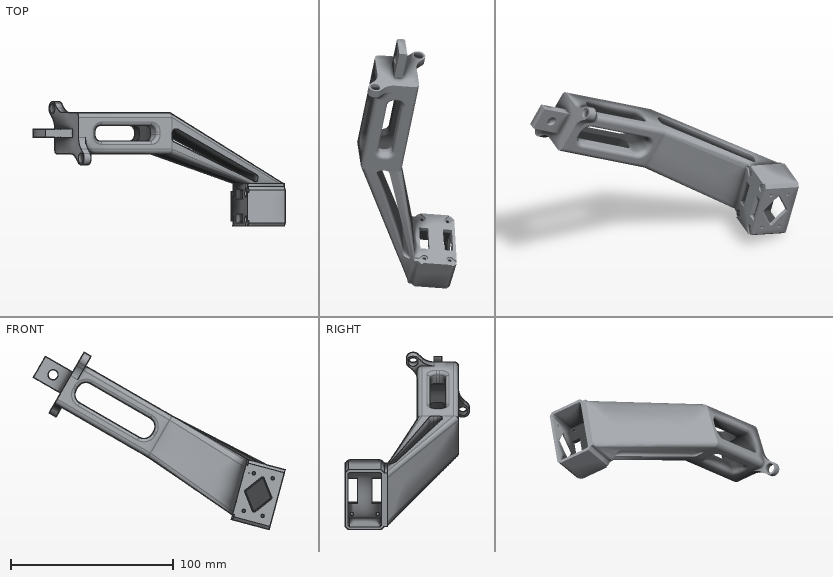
import cadquery as cq
import math

BEAM_TILT = 30.0
BEAM_WIDTH = 25.5
BEAM_HEIGHT = 29.5
BEAM_LENGTH = 66.5
BEAM_CORNER_RADIUS = 3.0

WINDOW_RIM_FILLET = 2.1
SIDE_WINDOW_START = 7.4
SIDE_WINDOW_LENGTH = 54.0
SIDE_WINDOW_HEIGHT = 13.5
TOP_WINDOW_START = 12.6
TOP_WINDOW_LENGTH = 43.3
TOP_WINDOW_WIDTH = 9.45
WINDOW_END_FLAT = 1.75

FLANGE_THICKNESS = 5.0
EAR_RADIUS = 4.15
EAR_HOLE_DIAMETER = 6.05
EAR_OFFSET_Y = 15.3
EAR_OFFSET_UP = 17.5
EAR_BLEND_RADIUS = 10.0
EAR_STRIP_ANGLE = 45.0
DIAGONAL = math.sqrt(0.5)

TAB_LENGTH = 19.4
TAB_HEIGHT = 15.0
TAB_THICKNESS = 5.0
TAB_HOLE_DIAMETER = 6.05
TAB_HOLE_FROM_TIP = 9.8

HEAD_TILT = 15.0
HEAD_DEPTH = 24.2
HEAD_WIDTH = 24.28
HEAD_HEIGHT = 38.3
HEAD_CHAMFER = 2.0
HEAD_WALL = 1.84
HEAD_PLATE_THICKNESS = 3.15
HEAD_CENTER_X = 106.43
HEAD_CENTER_Y = -45.1
HEAD_CENTER_Z = -65.88
ARM_PAD_THICKNESS = 2.0

PLATE_SLOT_WIDTH = 5.7
PLATE_SLOT_HEIGHT = 16.0
PLATE_SLOT_PITCH = 14.9
SCREW_HOLE_DIAMETER = 2.05
SCREW_PITCH_Y = 16.0
SCREW_PITCH_UP = 30.0
SCREW_RECESS_DIAMETER = 4.3
SCREW_RECESS_DEPTH = 1.0
PAD_RECESS_FROM_CENTER = 15.4

FACE_HOLE_PITCH_ALONG = 12.0
FACE_HOLE_PITCH_UP = 24.0
DIAMOND_HALF_WIDTH = 8.05
DIAMOND_HALF_HEIGHT = 10.8
DIAMOND_CORNER_RADIUS = 0.5
DIAMOND_CHAMFER = 0.7
DIAMOND_CHAMFER_ANGLE = 45.0

ARM_END_CORNER_RADIUS = 3.0
ARM_END_HEIGHT = HEAD_HEIGHT - 2 * HEAD_CHAMFER
ARM_SLOT_START_WIDTH = 9.2
ARM_SLOT_END_WIDTH = 8.2
ARM_SLOT_LENGTH = 62.5
ARM_SLOT_END_TILT = (BEAM_TILT + HEAD_TILT) / 2
ARM_SLOT_OVERCUT = 1.2
ARM_SLOT_START_RADIUS = 3.0
ARM_SLOT_END_WIDE_RADIUS = 2.4
ARM_SLOT_END_TIGHT_RADIUS = 1.0

UPRIGHT_COSINE = 0.8
TOLERANCE = 0.001


def tilted_plane(origin, tilt):
    """Section plane of a part that slopes down: local x is +Y, local y is up, local z is the axis."""
    angle = math.radians(tilt)
    return cq.Plane(origin=origin, xDir=(0, 1, 0), normal=(math.cos(angle), 0, -math.sin(angle)))


BEAM = tilted_plane((0, 0, 0), BEAM_TILT)
HEAD = tilted_plane((HEAD_CENTER_X, HEAD_CENTER_Y, HEAD_CENTER_Z), HEAD_TILT)


def placed(plane, local_part):
    """Move a part from local axes to its place on a section plane."""
    return cq.Workplane(obj=local_part.val().moved(cq.Location(plane)))


def make_beam():
    """Straight rounded bar before its windows are cut."""
    local = cq.Workplane("XY").rect(BEAM_WIDTH, BEAM_HEIGHT).extrude(BEAM_LENGTH)
    return local.edges("|Z").fillet(BEAM_CORNER_RADIUS)


def make_ear():
    """Ear at the +x +y corner: a diagonal strip with a round end, blended into the flange edges."""
    half_width = BEAM_WIDTH / 2
    half_height = BEAM_HEIGHT / 2
    half_turn = math.radians(EAR_STRIP_ANGLE / 2)
    tangent_length = EAR_BLEND_RADIUS * math.tan(half_turn)
    arc_gap = EAR_BLEND_RADIUS * (1 / math.cos(half_turn) - 1)
    short_gap = arc_gap * math.sin(half_turn)
    long_gap = arc_gap * math.cos(half_turn)
    leg = tangent_length * DIAGONAL
    side_step = EAR_RADIUS * DIAGONAL
    rise = EAR_OFFSET_UP - EAR_OFFSET_Y
    strip_span = EAR_RADIUS / DIAGONAL
    top_x = half_height - rise - strip_span
    side_y = half_width + rise - strip_span
    outline = (
        cq.Workplane("XY")
        .lineTo(top_x - tangent_length, 0)
        .lineTo(top_x - tangent_length, half_height)
        .threePointArc((top_x - short_gap, half_height + long_gap), (top_x + leg, half_height + leg))
        .lineTo(EAR_OFFSET_Y - side_step, EAR_OFFSET_UP + side_step)
        .threePointArc(
            (EAR_OFFSET_Y + side_step, EAR_OFFSET_UP + side_step),
            (EAR_OFFSET_Y + side_step, EAR_OFFSET_UP - side_step),
        )
        .lineTo(half_width + leg, side_y + leg)
        .threePointArc((half_width + long_gap, side_y - short_gap), (half_width, side_y - tangent_length))
        .lineTo(0, side_y - tangent_length)
        .close()
    )
    return outline.extrude(FLANGE_THICKNESS)


def ear_holes():
    """Holes through both ears."""
    centers = [(-EAR_OFFSET_Y, EAR_OFFSET_UP), (EAR_OFFSET_Y, -EAR_OFFSET_UP)]
    return cq.Workplane("XY").pushPoints(centers).circle(EAR_HOLE_DIAMETER / 2).extrude(FLANGE_THICKNESS)


def make_tab():
    """Flat tab in front of the flange with a cross hole near its tip."""
    tab = cq.Workplane("XY").box(TAB_THICKNESS, TAB_HEIGHT, TAB_LENGTH)
    tab = tab.translate((0, 0, -TAB_LENGTH / 2))
    hole = (
        cq.Workplane("YZ")
        .center(0, TAB_HOLE_FROM_TIP - TAB_LENGTH)
        .circle(TAB_HOLE_DIAMETER / 2)
        .extrude(TAB_THICKNESS, both=True)
    )
    return tab.cut(hole)


def cut_window(body, width, length, start, axis):
    """Rounded window through the beam along a local axis, with filleted rims on both faces."""
    plane = "YZ" if axis == "X" else "XZ"
    window = (
        cq.Workplane(plane)
        .center(0, start + length / 2)
        .rect(width, length)
        .extrude(BEAM_HEIGHT, both=True)
        .edges("|" + axis)
        .fillet((width - WINDOW_END_FLAT) / 2)
    )
    body = body.cut(window)
    rims = [face.innerWires()[0] for side in "<>" for face in body.faces(side + axis).vals()]
    rim_edges = [edge for rim in rims for edge in rim.Edges()]
    return body.newObject(rim_edges).fillet(WINDOW_RIM_FILLET)


def rounded_section(plane, width, height, radius):
    """Rounded rectangle wire whose edges start at the same corner on every section."""
    return (
        cq.Workplane(plane)
        .moveTo(-width / 2 + radius, -height / 2)
        .hLine(width - 2 * radius)
        .radiusArc((width / 2, -height / 2 + radius), -radius)
        .vLine(height - 2 * radius)
        .radiusArc((width / 2 - radius, height / 2), -radius)
        .hLine(-(width - 2 * radius))
        .radiusArc((-width / 2, height / 2 - radius), -radius)
        .vLine(-(height - 2 * radius))
        .radiusArc((-width / 2 + radius, -height / 2), -radius)
        .close()
        .val()
    )


def arm_end_plane():
    """Plane of the outer face of the arm pad; local x runs along the head depth."""
    pad_x = HEAD_WIDTH / 2 + ARM_PAD_THICKNESS
    origin = HEAD.toWorldCoords((pad_x, 0, HEAD_DEPTH / 2))
    return cq.Plane(origin=origin, xDir=HEAD.zDir, normal=(0, -1, 0))


def section_corners(plane, width, height):
    """Corners of a rectangle centred on a plane, as points of the part."""
    signs = [(-1, -1), (1, -1), (1, 1), (-1, 1)]
    return [plane.toWorldCoords((i * width / 2, j * height / 2, 0)) for i, j in signs]


def upright_edges(body, plane):
    """Straight edges that lie in a plane and point up, in order of Y."""
    found = []
    for edge in body.edges("%LINE").vals():
        lies_there = abs(plane.toLocalCoords(edge.Center()).z) < TOLERANCE
        if lies_there and abs(edge.tangentAt(0).dot(plane.yDir)) > UPRIGHT_COSINE:
            found.append(edge)
    return sorted(found, key=lambda edge: edge.Center().y)


def make_arm_slot(start_plane, end_plane):
    """Slot through the arm from top to bottom; its corners run on lines from beam to head."""
    start = section_corners(start_plane, ARM_SLOT_START_WIDTH, ARM_SLOT_OVERCUT * BEAM_HEIGHT)
    toward = section_corners(end_plane, ARM_SLOT_END_WIDTH, ARM_SLOT_OVERCUT * ARM_END_HEIGHT)
    stop_origin = BEAM.toWorldCoords((0, 0, BEAM_LENGTH + ARM_SLOT_LENGTH))
    stop = tilted_plane(stop_origin, ARM_SLOT_END_TILT)
    end = []
    for near, far in zip(start, toward):
        run = far - near
        end.append(near + run * ((stop_origin - near).dot(stop.zDir) / run.dot(stop.zDir)))
    wires = [cq.Wire.makePolygon(corners, close=True) for corners in (start, end)]
    slot = cq.Workplane(obj=cq.Solid.makeLoft(wires, True))
    near_edges = upright_edges(slot, start_plane)
    slot = slot.newObject(near_edges).fillet(ARM_SLOT_START_RADIUS)
    wide_edge = upright_edges(slot, stop)[1]
    slot = slot.newObject([wide_edge]).fillet(ARM_SLOT_END_WIDE_RADIUS)
    tight_edge = upright_edges(slot, stop)[0]
    return slot.newObject([tight_edge]).fillet(ARM_SLOT_END_TIGHT_RADIUS)


def make_arm():
    """Arm ruled from the beam end to the pad on the head, with its slot."""
    start_plane = tilted_plane(BEAM.toWorldCoords((0, 0, BEAM_LENGTH)), BEAM_TILT)
    end_plane = arm_end_plane()
    start = rounded_section(start_plane, BEAM_WIDTH, BEAM_HEIGHT, BEAM_CORNER_RADIUS)
    end = rounded_section(end_plane, HEAD_DEPTH, ARM_END_HEIGHT, ARM_END_CORNER_RADIUS)
    arm = cq.Workplane(obj=cq.Solid.makeLoft([start, end], True))
    return arm.cut(make_arm_slot(start_plane, end_plane))


def make_head():
    """Chamfered box open at the back, with walls of even thickness and a pad for the arm."""
    shell = cq.Workplane("XY").rect(HEAD_WIDTH, HEAD_HEIGHT).extrude(HEAD_DEPTH)
    shell = shell.edges("|Z").chamfer(HEAD_CHAMFER)
    cavity_chamfer = HEAD_CHAMFER - HEAD_WALL * (2 - math.sqrt(2))
    cavity = (
        cq.Workplane("XY")
        .workplane(offset=HEAD_PLATE_THICKNESS)
        .rect(HEAD_WIDTH - 2 * HEAD_WALL, HEAD_HEIGHT - 2 * HEAD_WALL)
        .extrude(HEAD_DEPTH)
        .edges("|Z")
        .chamfer(cavity_chamfer)
    )
    pad = cq.Workplane("XY").box(ARM_PAD_THICKNESS, ARM_END_HEIGHT, HEAD_DEPTH, centered=(False, True, False))
    pad = pad.translate((HEAD_WIDTH / 2, 0, 0))
    return shell.cut(cavity).union(pad)


def screw_recess(side, end):
    """Shallow recess around one corner screw, running out diagonally over the corner."""
    seat = cq.Workplane("XY").circle(SCREW_RECESS_DIAMETER / 2).extrude(SCREW_RECESS_DEPTH)
    runout = cq.Workplane("XY").box(
        HEAD_WIDTH / 2, SCREW_RECESS_DIAMETER, SCREW_RECESS_DEPTH, centered=(False, True, False)
    )
    runout = runout.rotate((0, 0, 0), (0, 0, 1), math.degrees(math.atan2(end, side)))
    return seat.union(runout).translate((side * SCREW_PITCH_Y / 2, end * SCREW_PITCH_UP / 2, 0))


def plate_cuts():
    """Two slots and four recessed screw holes through the front plate."""
    slots = (
        cq.Workplane("XY")
        .rarray(PLATE_SLOT_PITCH, 1, 2, 1)
        .rect(PLATE_SLOT_WIDTH, PLATE_SLOT_HEIGHT)
        .extrude(HEAD_PLATE_THICKNESS)
    )
    holes = (
        cq.Workplane("XY")
        .rarray(SCREW_PITCH_Y, SCREW_PITCH_UP, 2, 2)
        .circle(SCREW_HOLE_DIAMETER / 2)
        .extrude(HEAD_PLATE_THICKNESS)
    )
    cuts = slots.union(holes)
    for side in (-1, 1):
        for end in (-1, 1):
            cuts = cuts.union(screw_recess(side, end))
    return cuts


def pad_recesses():
    """Shallow steps at both ends of the arm pad, level with the screw recesses beside them."""
    low = SCREW_PITCH_Y / 2
    high = HEAD_WIDTH / 2 + ARM_PAD_THICKNESS
    center = ((low + high) / 2, (PAD_RECESS_FROM_CENTER + ARM_END_HEIGHT / 2) / 2)
    size = (high - low, ARM_END_HEIGHT / 2 - PAD_RECESS_FROM_CENTER)
    step = cq.Workplane("XY").center(*center).rect(*size).extrude(SCREW_RECESS_DEPTH)
    return step.union(step.mirror("XZ"))


def face_cuts():
    """Diamond window with a chamfered rim and four holes through the wall on the -Y side."""
    face = cq.Workplane("YZ", origin=(-HEAD_WIDTH / 2, 0, HEAD_DEPTH / 2))
    holes = (
        face.rarray(FACE_HOLE_PITCH_UP, FACE_HOLE_PITCH_ALONG, 2, 2)
        .circle(SCREW_HOLE_DIAMETER / 2)
        .extrude(HEAD_WALL)
    )
    corners = [
        (DIAMOND_HALF_HEIGHT, 0),
        (0, DIAMOND_HALF_WIDTH),
        (-DIAMOND_HALF_HEIGHT, 0),
        (0, -DIAMOND_HALF_WIDTH),
    ]
    diamond = face.polyline(corners).close().extrude(HEAD_WALL).edges("|X").fillet(DIAMOND_CORNER_RADIUS)
    rim = diamond.faces("<X").wires().val().offset2D(DIAMOND_CHAMFER)[0]
    flare = cq.Solid.extrudeLinear(rim, [], cq.Vector(DIAMOND_CHAMFER, 0, 0), DIAMOND_CHAMFER_ANGLE)
    return holes.union(diamond).union(cq.Workplane(obj=flare))


beam = make_beam()
beam = cut_window(beam, SIDE_WINDOW_HEIGHT, SIDE_WINDOW_LENGTH, SIDE_WINDOW_START, "X")
beam = cut_window(beam, TOP_WINDOW_WIDTH, TOP_WINDOW_LENGTH, TOP_WINDOW_START, "Y")
ear = make_ear().mirror("YZ")
beam = beam.union(ear).union(ear.rotate((0, 0, 0), (0, 0, 1), 180))
beam = beam.cut(ear_holes()).union(make_tab())
head = make_head().cut(plate_cuts()).cut(pad_recesses()).cut(face_cuts())

result = placed(BEAM, beam).union(make_arm()).union(placed(HEAD, head))